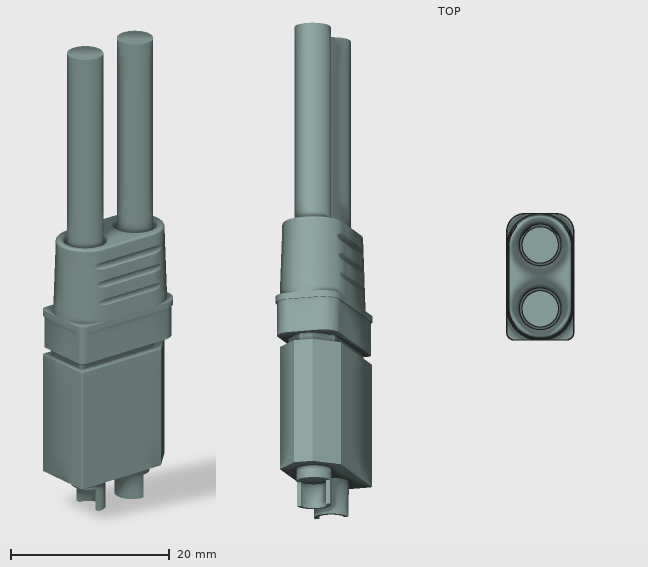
import cadquery as cq
import math


stub_end_z = 3.1
housing_bottom_z = 4.65
housing_top_z = 20.5
cap_bottom_z = 21.6
flange_bottom_z = 25.9
flange_top_z = 26.7
boot_top_z = 36.5
cable_top_z = 61.9

flange_width = 8.5
flange_depth = 16.0
flange_overhang = 0.2
cap_width = flange_width - 2 * flange_overhang
cap_depth = flange_depth - 2 * flange_overhang
cap_back_radius = 2.1
cap_front_radius = 0.8

boot_base_radius = flange_width / 2
boot_top_radius = 3.9
boot_foot_arc_y = flange_depth / 2 - boot_base_radius
boot_end_bulge = 0.03
boot_arc_y = boot_foot_arc_y + boot_end_bulge
boot_edge_radius = 0.3

groove_radius = 0.55
groove_top_z = 34.2
groove_pitch = 2.5
groove_count = 3
groove_top_floor_x = 3.65
groove_floor_step = 0.155

cable_diameter = 4.6
cable_y = 4.0
cable_hole_diameter = 5.25
hole_mouth_radius = 0.5

housing_width = cap_width
housing_depth = cap_depth
housing_chamfer = 2.85
housing_edge_chamfer = 0.25
neck_width = 6.1
neck_back_inset = 1.05
neck_front_inset = 0.75
neck_chamfer = 2.3

contact_diameter = 4.4
contact_bore = 3.3
contact_y = 3.5
contact_cut_y = 3.65

ends = (-1, 1)


def rounded_block(width, depth, front_radius, back_radius, bottom_z, top_z):
    """Upright block with one corner radius at -Y and another at +Y."""
    block = cq.Workplane("XY", origin=(0, 0, bottom_z)).rect(width, depth).extrude(top_z - bottom_z)
    block = block.edges("|Z and <Y").fillet(front_radius)
    return block.edges("|Z and >Y").fillet(back_radius)


def chamfered_block(width, front_y, back_y, back_chamfer, bottom_z, top_z):
    """Upright block with large chamfers on its two corners at +Y."""
    block = (
        cq.Workplane("XY", origin=(0, (front_y + back_y) / 2, bottom_z))
        .rect(width, back_y - front_y)
        .extrude(top_z - bottom_z)
    )
    return block.edges("|Z and >Y").chamfer(back_chamfer)


def slot_outline(arc_y, radius):
    """Slot along Y at the flange top, with its end arcs centred arc_y from the middle."""
    return cq.Workplane("XY", origin=(0, 0, flange_top_z)).slot2D(2 * (arc_y + radius), 2 * radius, 90)


def make_boot():
    height = boot_top_z - flange_top_z
    taper_angle = math.degrees(math.atan((boot_base_radius - boot_top_radius) / height))
    sleeve = slot_outline(boot_arc_y, boot_base_radius).extrude(height, taper=taper_angle)
    sleeve = sleeve.faces(">Z").edges().fillet(boot_edge_radius)
    foot = slot_outline(boot_foot_arc_y, boot_base_radius).extrude(height)
    return sleeve.intersect(foot)


def make_grooves():
    """Round bars along Y that cut the grip grooves."""
    bars = cq.Workplane("XY")
    for end in ends:
        for index in range(groove_count):
            axis_x = groove_top_floor_x + index * groove_floor_step + groove_radius
            axis_z = groove_top_z - index * groove_pitch
            bar = (
                cq.Workplane("XZ", origin=(end * axis_x, 0, axis_z))
                .circle(groove_radius)
                .extrude(flange_depth / 2, both=True)
            )
            bars = bars.add(bar)
    return bars.combine()


def make_cable_hole(y):
    """Hole cutter from the boot top to the cap underside, flaring out in a rounded mouth."""
    hole_radius = cable_hole_diameter / 2
    mouth_radius = hole_radius + hole_mouth_radius
    curve_z = boot_top_z - hole_mouth_radius
    arc_reach = hole_mouth_radius * math.sqrt(0.5)
    return (
        cq.Workplane("XZ", origin=(0, y, 0))
        .moveTo(0, cap_bottom_z)
        .lineTo(hole_radius, cap_bottom_z)
        .lineTo(hole_radius, curve_z)
        .threePointArc((mouth_radius - arc_reach, curve_z + arc_reach), (mouth_radius, boot_top_z))
        .lineTo(0, boot_top_z)
        .close()
        .revolve(360, (0, 0), (0, 1))
    )


def make_cap():
    body = rounded_block(
        cap_width, cap_depth, cap_front_radius, cap_back_radius, cap_bottom_z, flange_bottom_z
    )
    flange = rounded_block(
        flange_width,
        flange_depth,
        cap_front_radius + flange_overhang,
        cap_back_radius + flange_overhang,
        flange_bottom_z,
        flange_top_z,
    )
    cap = body.union(flange).union(make_boot()).cut(make_grooves())
    for end in ends:
        cap = cap.cut(make_cable_hole(end * cable_y))
    return cap


def make_contact(end):
    """Contact whose lower part is the half of a tube nearer the middle of the connector."""
    center_y = end * contact_y
    contact = (
        cq.Workplane("XY", origin=(0, center_y, 0)).circle(contact_diameter / 2).extrude(housing_bottom_z)
    )
    bore = cq.Workplane("XY", origin=(0, center_y, 0)).circle(contact_bore / 2).extrude(stub_end_z)
    outer_half = (
        cq.Workplane("XY", origin=(0, end * (contact_cut_y + contact_diameter / 2), 0))
        .rect(contact_diameter, contact_diameter)
        .extrude(stub_end_z)
    )
    return contact.cut(bore).cut(outer_half)


def make_housing():
    half_depth = housing_depth / 2
    block = chamfered_block(
        housing_width, -half_depth, half_depth, housing_chamfer, housing_bottom_z, housing_top_z
    )
    block = block.edges("|Z and <Y").chamfer(housing_edge_chamfer)
    neck = chamfered_block(
        neck_width,
        neck_front_inset - half_depth,
        half_depth - neck_back_inset,
        neck_chamfer,
        housing_top_z,
        cap_bottom_z,
    )
    housing = block.union(neck)
    for end in ends:
        housing = housing.union(make_contact(end))
    return housing


def make_cable(end):
    """Cable running from the top of the housing neck out through the boot."""
    return (
        cq.Workplane("XY", origin=(0, end * cable_y, cap_bottom_z))
        .circle(cable_diameter / 2)
        .extrude(cable_top_z - cap_bottom_z)
    )


housing = make_housing()
cap = make_cap()
cables = [make_cable(end) for end in ends]

result = cq.Compound.makeCompound([housing.val(), cap.val(), *[cable.val() for cable in cables]])